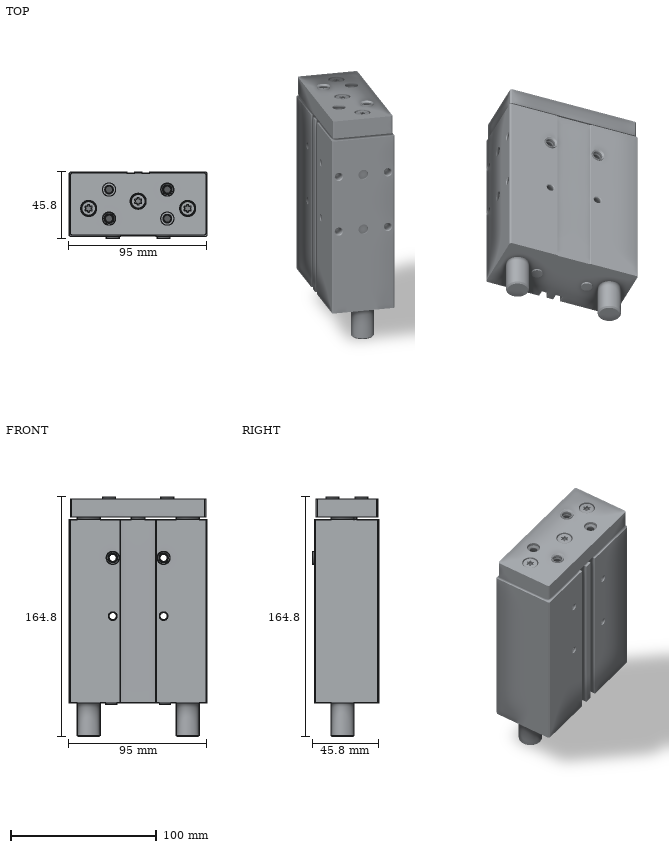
import cadquery as cq
import math

overall_height = 164.8
sleeve_protrusion = 1.3
plate_thickness = 12.5
plate_gap = 1.8
housing_bottom = 23.2
plate_top = overall_height - sleeve_protrusion
plate_bottom = plate_top - plate_thickness
housing_top = plate_bottom - plate_gap
housing_height = housing_top - housing_bottom

housing_width = 95.0
housing_depth = 44.5
housing_front = -22.4
housing_back = housing_front + housing_depth
housing_centre_y = (housing_front + housing_back) / 2
housing_left = -housing_width / 2
edge_chamfer = 0.9
front_recess_width = 25.0
front_recess_depth = 0.5
slot_width = 5.3
slot_spacing = 10.4
slot_depth = 5.0
foot_diameter = 7.7
foot_height = 1.2
foot_spacing = 36.9

hole_spacing = 35.0
upper_hole_z = 123.0
hole_pitch_z = 40.0
lower_hole_z = upper_hole_z - hole_pitch_z
through_hole_diameter = 5.0
countersink_diameter = 6.0
countersink_depth = (countersink_diameter - through_hole_diameter) / 2
side_hole_diameter = 5.0
side_hole_depth = 8.2
drill_tip_angle = 118.0
port_diameter = 7.0
port_depth = 1.3

plate_width = 93.3
plate_depth = 42.5
plate_hole_spacing_x = 40.0
plate_hole_spacing_y = 20.0

sleeve_diameter = 9.0
sleeve_bore = 6.6
sleeve_seat_depth = 2.0
sleeve_bevel = 1.0
sleeve_length = sleeve_seat_depth + sleeve_protrusion

guide_diameter = 16.0
guide_spacing = 68.0
guide_y = -3.0
guide_chamfer = 1.0
piston_diameter = 9.7
piston_y = 2.0
piston_bottom = 66.0
shank_diameter = 5.3
head_diameter = 10.0
head_seat_diameter = 11.0
head_seat_depth = 5.0
head_recess = 0.5
head_chamfer = 0.3
socket_core_diameter = 3.6
socket_lobe_diameter = 1.3
socket_lobe_circle = 4.1
socket_lobes = 6
socket_depth = 2.0

guide_points = [(side * guide_spacing / 2, guide_y) for side in (-1, 1)]
rod_points = guide_points + [(0, piston_y)]
sleeve_columns = [side * hole_spacing / 2 for side in (-1, 1)]
plate_hole_points = [
    (sx * plate_hole_spacing_x / 2, sy * plate_hole_spacing_y / 2) for sx in (-1, 1) for sy in (-1, 1)
]
plate_sleeve_points = [(x, y) for x, y in plate_hole_points if x * y > 0]


def cylinder(diameter, bottom, top, points=((0, 0),)):
    """Upright cylinders between two Z levels."""
    return (
        cq.Workplane("XY", origin=(0, 0, bottom)).pushPoints(points).circle(diameter / 2).extrude(top - bottom)
    )


def cone(start_diameter, end_diameter, length, start, direction):
    """Truncated cone that runs from a start point along a direction."""
    solid = cq.Solid.makeCone(
        start_diameter / 2, end_diameter / 2, length, cq.Vector(*start), cq.Vector(*direction)
    )
    return cq.Workplane(solid)


def countersink(start, direction):
    """Tapered mouth of a through hole, with its wide end at the start point."""
    return cone(countersink_diameter, through_hole_diameter, countersink_depth, start, direction)


def upright_block(width, depth, bottom, top, centre_y=0):
    """Block with chamfered vertical edges, centred on X = 0."""
    block = cq.Workplane("XY", origin=(0, centre_y, bottom)).rect(width, depth).extrude(top - bottom)
    return block.edges("|Z").chamfer(edge_chamfer)


def back_slots():
    points = [(side * slot_spacing / 2, housing_back) for side in (-1, 1)]
    return (
        cq.Workplane("XY", origin=(0, 0, housing_bottom))
        .pushPoints(points)
        .rect(slot_width, 2 * slot_depth)
        .extrude(housing_height)
    )


def front_recess():
    """Shallow recess along the front face, with side walls sloped at 45 degrees."""
    mouth = front_recess_width / 2
    floor = mouth - front_recess_depth
    floor_y = housing_front + front_recess_depth
    return (
        cq.Workplane("XY", origin=(0, 0, housing_bottom))
        .polyline([(-mouth, housing_front), (mouth, housing_front), (floor, floor_y), (-floor, floor_y)])
        .close()
        .extrude(housing_height)
    )


def make_housing():
    body = upright_block(housing_width, housing_depth, housing_bottom, housing_top, housing_centre_y)
    body = body.cut(back_slots()).cut(front_recess())

    foot_points = [(side * foot_spacing / 2, 0) for side in (-1, 1)]
    body = body.union(cylinder(foot_diameter, housing_bottom - foot_height, housing_bottom, foot_points))

    body = body.cut(cylinder(guide_diameter, housing_bottom, housing_top, guide_points))
    body = body.cut(cylinder(piston_diameter, piston_bottom, housing_top, [(0, piston_y)]))

    front = cq.Workplane("XZ", origin=(0, housing_front, 0))
    upper_points = [(x, upper_hole_z) for x in sleeve_columns]
    lower_points = [(x, lower_hole_z) for x in sleeve_columns]
    through = front.pushPoints(upper_points + lower_points).circle(through_hole_diameter / 2)
    body = body.cut(through.extrude(-housing_depth))
    body = body.cut(front.pushPoints(upper_points).circle(sleeve_diameter / 2).extrude(-sleeve_seat_depth))
    seat_floor = housing_front + sleeve_seat_depth
    for x in sleeve_columns:
        body = body.cut(countersink((x, seat_floor, upper_hole_z), (0, 1, 0)))
        body = body.cut(countersink((x, housing_front, lower_hole_z), (0, 1, 0)))

    for z in (lower_hole_z, upper_hole_z):
        for y in sleeve_columns:
            body = body.cut(side_hole(y, z))
        port = cq.Workplane("YZ", origin=(housing_left, 0, z)).circle(port_diameter / 2)
        body = body.cut(port.extrude(port_depth))
    return body


def side_hole(y, z):
    """Blind drilled hole with a countersunk mouth, entering the left side along +X."""
    hole_radius = side_hole_diameter / 2
    mouth_radius = countersink_diameter / 2
    tip_depth = hole_radius / math.tan(math.radians(drill_tip_angle / 2))
    profile = (
        cq.Workplane("XY")
        .moveTo(0, 0)
        .lineTo(0, mouth_radius)
        .lineTo(mouth_radius - hole_radius, hole_radius)
        .lineTo(side_hole_depth, hole_radius)
        .lineTo(side_hole_depth + tip_depth, 0)
        .close()
    )
    return profile.revolve(360, (0, 0, 0), (1, 0, 0)).translate((housing_left, y, z))


def make_plate():
    body = upright_block(plate_width, plate_depth, plate_bottom, plate_top)
    body = body.cut(cylinder(through_hole_diameter, plate_bottom, plate_top, plate_hole_points))
    seat_floor = plate_top - sleeve_seat_depth
    body = body.cut(cylinder(sleeve_diameter, seat_floor, plate_top, plate_hole_points))
    for x, y in plate_hole_points:
        body = body.cut(countersink((x, y, seat_floor), (0, 0, -1)))
    body = body.cut(cylinder(shank_diameter, plate_bottom, plate_top, rod_points))
    return body.cut(cylinder(head_seat_diameter, plate_top - head_seat_depth, plate_top, rod_points))


def screw_end():
    """Shank and six-lobed socket head on the Z axis, from the plate underside up."""
    head_bottom = plate_top - head_seat_depth
    head_top = plate_top - head_recess
    shank = cylinder(shank_diameter, plate_bottom, head_bottom)
    head = cylinder(head_diameter, head_bottom, head_top).faces(">Z").chamfer(head_chamfer)
    lobe_angles = [math.tau * i / socket_lobes + math.pi / 2 for i in range(socket_lobes)]
    lobe_points = [
        (socket_lobe_circle / 2 * math.cos(a), socket_lobe_circle / 2 * math.sin(a)) for a in lobe_angles
    ]
    socket = cylinder(socket_core_diameter, head_top - socket_depth, head_top)
    socket = socket.union(cylinder(socket_lobe_diameter, head_top - socket_depth, head_top, lobe_points))
    return shank.union(head).cut(socket)


def make_guide_rod():
    rod = cylinder(guide_diameter, 0, plate_bottom).faces("<Z").chamfer(guide_chamfer)
    return rod.union(screw_end())


def make_piston_rod():
    return cylinder(piston_diameter, piston_bottom, plate_bottom).union(screw_end())


def make_sleeve():
    """Sleeve standing on the XY plane, with a funnelled bore at the top."""
    body = cylinder(sleeve_diameter, 0, sleeve_length)
    funnel = cone(
        sleeve_bore + 2 * sleeve_bevel, sleeve_bore, sleeve_bevel, (0, 0, sleeve_length), (0, 0, -1)
    )
    return body.cut(cylinder(sleeve_bore, 0, sleeve_length)).cut(funnel)


housing = make_housing()
plate = make_plate()
guide_rods = [make_guide_rod().translate((x, y, 0)) for x, y in guide_points]
piston_rod = make_piston_rod().translate((0, piston_y, 0))
plate_sleeves = [
    make_sleeve().translate((x, y, plate_top - sleeve_seat_depth)) for x, y in plate_sleeve_points
]
front_sleeve = make_sleeve().rotate((0, 0, 0), (1, 0, 0), 90)
front_sleeves = [
    front_sleeve.translate((x, housing_front + sleeve_seat_depth, upper_hole_z)) for x in sleeve_columns
]

bodies = [housing, plate, piston_rod] + guide_rods + plate_sleeves + front_sleeves
result = cq.Compound.makeCompound([body.val() for body in bodies])